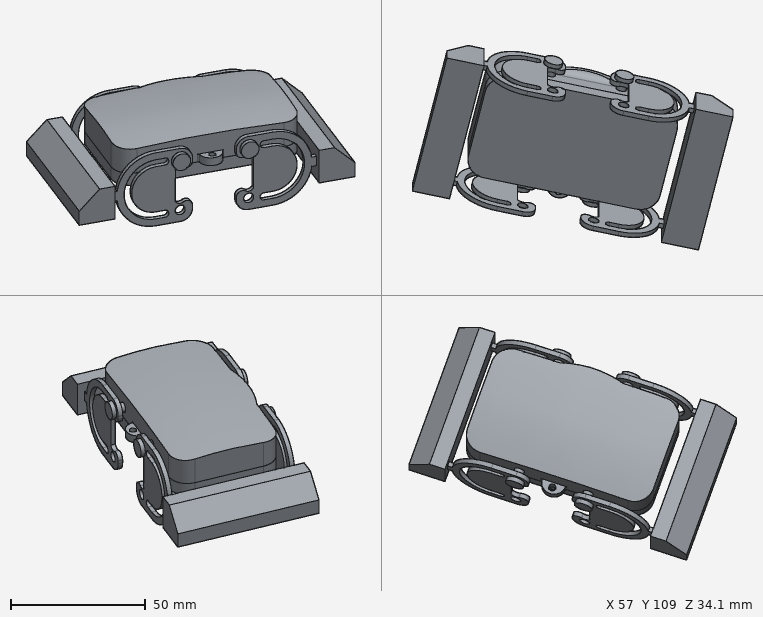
import cadquery as cq
import math


cover_width = 42.7
cover_length = 73.0
corner_radius = 7.5
seam_height = 5.2
peak_height = 17.8
dome_radius_across = 152.6
dome_radius_along = 523.2
dome_overhang = 4.4

grip_length = 24.9
grip_bulge = 2.1
grip_underside = 10.6
grip_hollow_radius = 4.4

eyelet_radius = 4.6
eyelet_thickness = 3.3
eyelet_hole_radius = 1.3
eyelet_hole_offset = 2.0
eyelet_fillet = 0.7

pin_radius = 2.0
pin_head_radius = 3.5
pin_head_thickness = 1.7
pivot_y = 13.5

lever_outer_face = 25.6
lever_thickness = 1.9
lever_mid_z = -0.8
lever_arc_y = 23.1
lever_arc_radius = 15.5
hook_radius = 4.9
hook_hole_radius = 2.0
nub_radius = 2.4
nub_arc_angle = 110.0
notch_radius = 2.2
notch_depth_z = 2.8
plate_edge_y = 15.5
slot_outer_radius = 12.5
slot_inner_radius = 9.6
slot_end_y = 19.5

total_length = 109.0
bar_width = 57.0
bar_depth = 14.2
bar_bottom = -8.6
bar_bevel_depth = 8.1
bar_bevel_height = 7.8
stub_height = 3.9

half_width = cover_width / 2
half_length = cover_length / 2
hook_offset_z = lever_arc_radius - hook_radius
pivot_z = lever_mid_z + hook_offset_z
bar_outer_y = total_length / 2
bar_inner_y = bar_outer_y - bar_depth
bar_top = seam_height


def cover_slab(bottom, top):
    """Rounded rectangle of the cover plan between two levels."""
    return (
        cq.Workplane("XY", origin=(0, 0, bottom))
        .rect(cover_width, cover_length)
        .extrude(top - bottom)
        .edges("|Z")
        .fillet(corner_radius)
    )


def grip_block():
    """Arc-fronted block on the -X wall with a concave hollow under the bulge."""
    block = (
        cq.Workplane("XY", origin=(0, 0, seam_height))
        .moveTo(0, -grip_length / 2)
        .lineTo(-half_width, -grip_length / 2)
        .threePointArc((-half_width - grip_bulge, 0), (-half_width, grip_length / 2))
        .lineTo(0, grip_length / 2)
        .close()
        .extrude(peak_height - seam_height)
    )
    hollow_x = -half_width - grip_hollow_radius
    round_hollow = (
        cq.Workplane("XZ", origin=(0, grip_length / 2, 0))
        .center(hollow_x, grip_underside)
        .circle(grip_hollow_radius)
        .extrude(grip_length)
    )
    clearance = (
        cq.Workplane("XY", origin=(hollow_x, 0, seam_height))
        .rect(2 * grip_hollow_radius, grip_length)
        .extrude(grip_underside - seam_height)
    )
    return block.cut(round_hollow).cut(clearance)


def dome():
    """Solid under the top surface: an arc across X swung about a low axis parallel to X."""
    reach = half_width + dome_overhang
    sag = dome_radius_across - math.sqrt(dome_radius_across**2 - reach**2)
    swing_angle = 2 * math.degrees(math.asin((half_length + dome_overhang) / dome_radius_along))
    axis_z = peak_height - dome_radius_along
    profile = (
        cq.Workplane("XZ")
        .moveTo(-reach, 0)
        .lineTo(-reach, peak_height - sag)
        .threePointArc((0, peak_height), (reach, peak_height - sag))
        .lineTo(reach, 0)
        .close()
    )
    swung = profile.revolve(swing_angle, (0, axis_z, 0), (1, axis_z, 0))
    return swung.rotate((0, 0, axis_z), (1, 0, axis_z), -swing_angle / 2)


def add_eyelet(hood):
    """Half-round eyelet level with the seam, blended into the +X wall."""
    disc = (
        cq.Workplane("XY", origin=(half_width, 0, seam_height))
        .circle(eyelet_radius)
        .extrude(eyelet_thickness)
    )
    hood = hood.union(disc)
    for side in (-1, 1):
        root = (half_width, side * eyelet_radius, seam_height + eyelet_thickness / 2)
        hood = hood.edges(cq.selectors.NearestToPointSelector(root)).fillet(eyelet_fillet)
    hole = (
        cq.Workplane("XY", origin=(half_width + eyelet_hole_offset, 0, seam_height))
        .circle(eyelet_hole_radius)
        .extrude(eyelet_thickness)
    )
    return hood.cut(hole)


def lever_outline(plane):
    """Closed outline of a side plate: a large round end and two hooks, mirrored about mid height."""
    hook_y = pivot_y - hook_radius
    nub_y = hook_y + nub_radius
    notch_z = notch_depth_z + notch_radius
    nub_z = notch_z - math.sqrt((nub_radius + notch_radius) ** 2 - (pivot_y - nub_y) ** 2)
    nub_share = nub_radius / (nub_radius + notch_radius)
    tangent_y = nub_y + nub_share * (pivot_y - nub_y)
    tangent_z = nub_z + nub_share * (notch_z - nub_z)
    tip_angle = math.radians(nub_arc_angle)
    tip_y = nub_y + nub_radius * math.cos(tip_angle)
    tip_z = nub_z + nub_radius * math.sin(tip_angle)
    notch_end_z = notch_z - math.sqrt(notch_radius**2 - (plate_edge_y - pivot_y) ** 2)
    diagonal = hook_radius * math.sqrt(0.5)

    def low(y, z):
        return y, lever_mid_z - hook_offset_z + z

    def high(y, z):
        return y, lever_mid_z + hook_offset_z - z

    return (
        plane.moveTo(*high(lever_arc_y, -hook_radius))
        .threePointArc((lever_arc_y + lever_arc_radius, lever_mid_z), low(lever_arc_y, -hook_radius))
        .lineTo(*low(pivot_y, -hook_radius))
        .threePointArc(low(pivot_y - diagonal, -diagonal), low(hook_y, 0))
        .lineTo(*low(hook_y, nub_z))
        .threePointArc(low(tip_y, tip_z), low(tangent_y, tangent_z))
        .threePointArc(low(pivot_y, notch_depth_z), low(plate_edge_y, notch_end_z))
        .lineTo(*high(plate_edge_y, notch_end_z))
        .threePointArc(high(pivot_y, notch_depth_z), high(tangent_y, tangent_z))
        .threePointArc(high(tip_y, tip_z), high(hook_y, nub_z))
        .lineTo(*high(hook_y, 0))
        .threePointArc(high(pivot_y - diagonal, -diagonal), high(pivot_y, -hook_radius))
        .close()
    )


def slot_outline(plane):
    """U-shaped slot that follows the round end of the plate, with round ends."""
    end_radius = (slot_outer_radius - slot_inner_radius) / 2
    middle_radius = (slot_outer_radius + slot_inner_radius) / 2
    top, bottom = lever_mid_z + slot_outer_radius, lever_mid_z - slot_outer_radius
    inner_top, inner_bottom = lever_mid_z + slot_inner_radius, lever_mid_z - slot_inner_radius
    return (
        plane.moveTo(slot_end_y, top)
        .lineTo(lever_arc_y, top)
        .threePointArc((lever_arc_y + slot_outer_radius, lever_mid_z), (lever_arc_y, bottom))
        .lineTo(slot_end_y, bottom)
        .threePointArc((slot_end_y - end_radius, lever_mid_z - middle_radius), (slot_end_y, inner_bottom))
        .lineTo(lever_arc_y, inner_bottom)
        .threePointArc((lever_arc_y + slot_inner_radius, lever_mid_z), (lever_arc_y, inner_top))
        .lineTo(slot_end_y, inner_top)
        .threePointArc((slot_end_y - end_radius, lever_mid_z + middle_radius), (slot_end_y, top))
        .close()
    )


def side_plate():
    """Lever side plate on the +X side at the +Y end, with its pin and the stub to the bar."""
    inner_face = lever_outer_face - lever_thickness
    plane = cq.Workplane("YZ", origin=(inner_face, 0, 0))
    plate = lever_outline(plane).extrude(lever_thickness)
    plate = plate.cut(slot_outline(plane).extrude(lever_thickness))
    hole = (
        plane.center(pivot_y, lever_mid_z - hook_offset_z)
        .circle(hook_hole_radius)
        .extrude(lever_thickness)
    )
    stub_start = lever_arc_y + (slot_outer_radius + lever_arc_radius) / 2
    stub = cq.Workplane("XY").box(
        lever_thickness, bar_inner_y - stub_start, stub_height, centered=(False, False, True)
    ).translate((inner_face, stub_start, lever_mid_z))
    shank_start = half_width - pin_radius
    shank = (
        cq.Workplane("YZ", origin=(shank_start, pivot_y, pivot_z))
        .circle(pin_radius)
        .extrude(lever_outer_face - shank_start)
    )
    head = (
        cq.Workplane("YZ", origin=(lever_outer_face, pivot_y, pivot_z))
        .circle(pin_head_radius)
        .extrude(pin_head_thickness)
    )
    return plate.cut(hole).union(stub).union(shank).union(head)


def handle_bar():
    """Bevelled bar across the two side plates at the +Y end."""
    return (
        cq.Workplane("YZ", origin=(-bar_width / 2, 0, 0))
        .moveTo(bar_inner_y, bar_bottom)
        .lineTo(bar_outer_y, bar_bottom)
        .lineTo(bar_outer_y, bar_top - bar_bevel_height)
        .lineTo(bar_outer_y - bar_bevel_depth, bar_top)
        .lineTo(bar_inner_y, bar_top)
        .close()
        .extrude(bar_width)
    )


def make_lever():
    """Locking lever at the +Y end: two side plates joined by the handle bar."""
    plate = side_plate()
    return handle_bar().union(plate).union(plate.mirror("YZ"))


def make_hood():
    """Domed hood with grip and eyelet, carrying both locking levers on its pins."""
    hood = cover_slab(seam_height, peak_height).union(grip_block()).intersect(dome())
    hood = add_eyelet(hood)
    lever = make_lever()
    return hood.union(lever).union(lever.mirror("XZ"))


def make_rim():
    """Lower rim that closes the hood from below."""
    return cover_slab(0, seam_height)


hood = make_hood()
rim = make_rim()
result = cq.Compound.makeCompound([hood.val(), rim.val()])